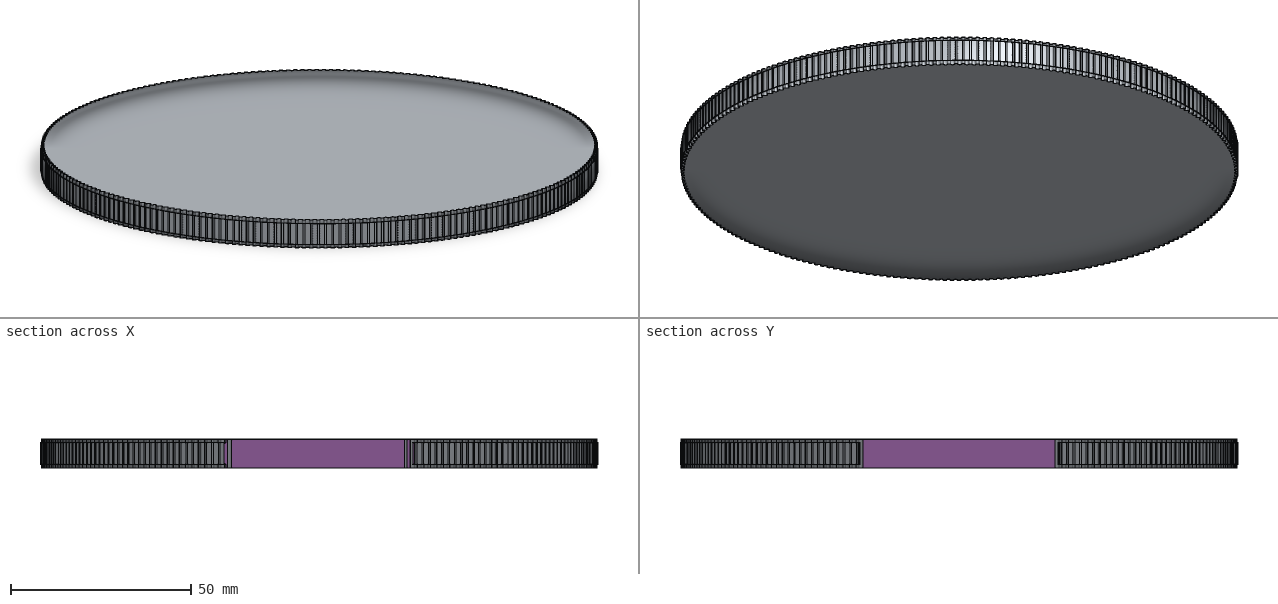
import cadquery as cq
import math

outer_diameter = 154.7
thickness = 8.0
band_thickness = 0.26
exposed_tooth_height = 1.0

tooth_count = 243
groove_depth = 0.75
groove_radius = 0.55
tip_fillet_radius = 0.2

outer_radius = outer_diameter / 2
tip_radius = outer_radius - band_thickness
root_radius = tip_radius - groove_depth
pitch_angle = 2 * math.pi / tooth_count
first_groove_angle = -math.pi / 2

groove_centre_radius = root_radius + groove_radius
fillet_centre_radius = tip_radius - tip_fillet_radius
centre_distance = groove_radius + tip_fillet_radius

fillet_angle = math.acos(
    (groove_centre_radius**2 + fillet_centre_radius**2 - centre_distance**2)
    / (2 * groove_centre_radius * fillet_centre_radius)
)
fillet_x = fillet_centre_radius * math.cos(fillet_angle)
fillet_y = fillet_centre_radius * math.sin(fillet_angle)

floor_end_direction = math.atan2(fillet_y, fillet_x - groove_centre_radius)
floor_end_x = groove_centre_radius + groove_radius * math.cos(floor_end_direction)
floor_end_y = groove_radius * math.sin(floor_end_direction)

fillet_mid_direction = (floor_end_direction - math.pi + fillet_angle) / 2
fillet_mid_x = fillet_x + tip_fillet_radius * math.cos(fillet_mid_direction)
fillet_mid_y = fillet_y + tip_fillet_radius * math.sin(fillet_mid_direction)


def turned(x, y, angle):
    """The point (x, y) turned about the disc axis."""
    return cq.Vector(
        x * math.cos(angle) - y * math.sin(angle),
        x * math.sin(angle) + y * math.cos(angle),
    )


def on_tip_circle(angle):
    return turned(tip_radius, 0, angle)


def groove_and_land(angle):
    """Outline of the groove centred at this angle and of the tooth tip that follows it."""
    arc = cq.Edge.makeThreePointArc
    groove_start = on_tip_circle(angle - fillet_angle)
    groove_end = on_tip_circle(angle + fillet_angle)
    land_middle = on_tip_circle(angle + pitch_angle / 2)
    land_end = on_tip_circle(angle + pitch_angle - fillet_angle)
    floor_start = turned(floor_end_x, -floor_end_y, angle)
    floor_middle = turned(root_radius, 0, angle)
    floor_end = turned(floor_end_x, floor_end_y, angle)
    return [
        arc(groove_start, turned(fillet_mid_x, -fillet_mid_y, angle), floor_start),
        arc(floor_start, floor_middle, floor_end),
        arc(floor_end, turned(fillet_mid_x, fillet_mid_y, angle), groove_end),
        arc(groove_end, land_middle, land_end),
    ]


def toothed_disc():
    edges = []
    for index in range(tooth_count):
        edges += groove_and_land(first_groove_angle + index * pitch_angle)
    outline = cq.Wire.assembleEdges(edges)
    disc = cq.Solid.extrudeLinear(outline, [], cq.Vector(0, 0, thickness))
    return cq.Workplane(disc)


def rim_band():
    """Band resting on the tooth tips, leaving the grooves open beneath it."""
    return (
        cq.Workplane("XY")
        .workplane(offset=exposed_tooth_height)
        .circle(outer_radius)
        .circle(tip_radius)
        .extrude(thickness - 2 * exposed_tooth_height)
    )


result = toothed_disc().union(rim_band())